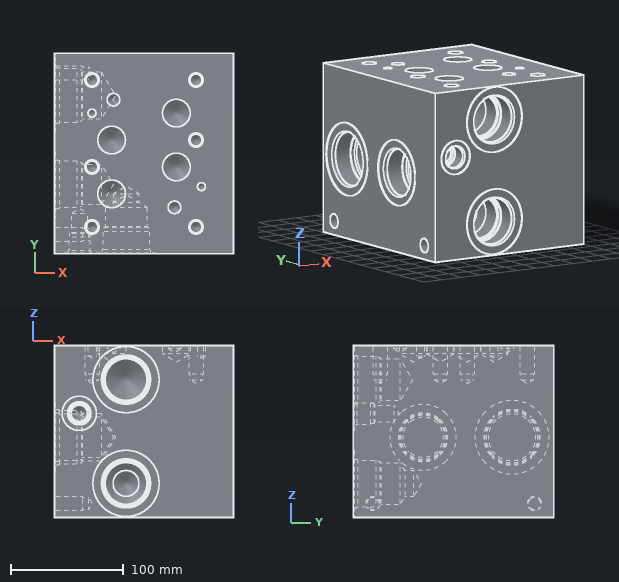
import cadquery as cq
import math

LENGTH_X = 158.8
LENGTH_Y = 177.8
LENGTH_Z = 152.4

DRILL_HALF_ANGLE = math.radians(59)

SEAT_TAPER = math.radians(12)
SPOTFACE_DEPTH = 0.9
LARGE_PORT = dict(spotface=65.5, seat=49.8, major=47.7, minor=45.5,
                  seat_depth=3.4, thread_depth=19.0, minor_depth=22.8)
MEDIUM_PORT = dict(spotface=58.7, seat=43.5, major=41.2, minor=39.3,
                   seat_depth=3.4, thread_depth=19.0, minor_depth=22.8)
SMALL_PORT = dict(spotface=30.4, seat=20.6, major=19.0, minor=17.5,
                  seat_depth=2.5, thread_depth=14.2, minor_depth=17.5)
BORE_T = 41.8
BORE_P = 35.7
BORE_AB = 37.0
BORE_Y = 14.5
BORE_RUN = 17.8
PASSAGE_A = 23.0
PASSAGE_A_DEPTH = 53.3

AB_X = 63.5
A_Z = 30.2
B_Z = LENGTH_Z - A_Z
Y_PORT_CENTRE = (22.0, 92.3)
PT_Z = 71.3
P_Y = 61.7
T_Y = 140.5

TAP_MAJOR = 12.6
TAP_MINOR = 10.7
TAP_THREAD_DEPTH = 24.9
TAP_DRILL_DEPTH = 30.2
SIDE_TAP_INSET = 17.5
SIDE_TAP_Z = 12.6

BOLT_SPAN_X = 92.1
BOLT_SPAN_Y = 130.1
PATTERN_X = (LENGTH_X - BOLT_SPAN_X) / 2
PATTERN_Y = (LENGTH_Y - BOLT_SPAN_Y) / 2
MID_BOLT_LEFT = 53.2
MID_BOLT_RIGHT = 77.0
BOLTS = [(x, y) for x in (0, BOLT_SPAN_X) for y in (0, BOLT_SPAN_Y)]
BOLTS += [(0, MID_BOLT_LEFT), (BOLT_SPAN_X, MID_BOLT_RIGHT)]
FLOW_PORTS = [(17.5, 29.3), (17.5, 77.0), (74.7, 53.2), (74.7, 100.8)]
PILOT_PORTS = [(73.0, 17.5), (19.0, 112.7)]
PINS = [(0, 100.8), (96.9, 35.7)]
FLOW_DIAMETER = 24.5
FLOW_DEPTH = 7.1
PILOT_DIAMETER = 11.2
PILOT_DEPTH = 2.7
PIN_DIAMETER = 7.1
PIN_DEPTH = 8.9


def cone_depth(diameter):
    return diameter / 2 / math.tan(DRILL_HALF_ANGLE)


def turned(profile):
    """Cutter turned from (diameter, depth) steps; it enters at Z=0 and points down -Z."""
    points = [(diameter / 2, -depth) for diameter, depth in profile]
    return cq.Workplane("XZ").polyline([(0, 0)] + points).close().revolve(360, (0, 0), (0, 1))


def drilled(diameter, depth):
    """Steps of a plain hole: straight to the given depth, then the drill point."""
    return [(diameter, 0), (diameter, depth), (0, depth + cone_depth(diameter))]


def tapped():
    end = TAP_DRILL_DEPTH + cone_depth(TAP_MINOR)
    return [(TAP_MAJOR, 0), (TAP_MAJOR, TAP_THREAD_DEPTH), (TAP_MINOR, TAP_THREAD_DEPTH),
            (TAP_MINOR, TAP_DRILL_DEPTH), (0, end)]


def threaded_port(port, bore, passage=0, passage_depth=0):
    """Steps of a port: spotface, tapered seat, thread, bore and an optional passage."""
    floor = SPOTFACE_DEPTH
    seat_end = floor + port["seat_depth"]
    seat_end_diameter = port["seat"] - 2 * port["seat_depth"] * math.tan(SEAT_TAPER)
    thread_end = floor + port["thread_depth"]
    minor_end = floor + port["minor_depth"]
    bore_start = minor_end + cone_depth(port["minor"]) - cone_depth(bore)
    bore_end = minor_end + BORE_RUN
    steps = [
        (port["spotface"], 0), (port["spotface"], floor),
        (port["seat"], floor), (seat_end_diameter, seat_end),
        (port["major"], seat_end), (port["major"], thread_end),
        (port["minor"], thread_end), (port["minor"], minor_end),
        (bore, bore_start), (bore, bore_end),
    ]
    if passage:
        steps.append((passage, bore_end + cone_depth(bore) - cone_depth(passage)))
        steps.append((passage, passage_depth))
        return steps + [(0, passage_depth + cone_depth(passage))]
    return steps + [(0, bore_end + cone_depth(bore))]


def on_top(profile, x, y):
    return turned(profile).translate((PATTERN_X + x, PATTERN_Y + y, LENGTH_Z))


def on_front(profile, x, z):
    """Place a cutter on the Y=0 face, pointing toward +Y."""
    return turned(profile).rotate((0, 0, 0), (1, 0, 0), 90).translate((x, 0, z))


def on_left(profile, y, z):
    """Place a cutter on the X=0 face, pointing toward +X."""
    return turned(profile).rotate((0, 0, 0), (0, 1, 0), -90).translate((0, y, z))


cutters = [
    on_front(threaded_port(MEDIUM_PORT, BORE_AB, PASSAGE_A, PASSAGE_A_DEPTH), AB_X, A_Z),
    on_front(threaded_port(MEDIUM_PORT, BORE_AB), AB_X, B_Z),
    on_front(threaded_port(SMALL_PORT, BORE_Y), *Y_PORT_CENTRE),
    on_left(threaded_port(MEDIUM_PORT, BORE_P), P_Y, PT_Z),
    on_left(threaded_port(LARGE_PORT, BORE_T), T_Y, PT_Z),
]
for y in (SIDE_TAP_INSET, LENGTH_Y - SIDE_TAP_INSET):
    cutters.append(on_left(tapped(), y, SIDE_TAP_Z))

top_holes = [
    (tapped(), BOLTS),
    (drilled(FLOW_DIAMETER, FLOW_DEPTH), FLOW_PORTS),
    (drilled(PILOT_DIAMETER, PILOT_DEPTH), PILOT_PORTS),
    (drilled(PIN_DIAMETER, PIN_DEPTH), PINS),
]
for profile, centres in top_holes:
    for x, y in centres:
        cutters.append(on_top(profile, x, y))

result = cq.Workplane("XY").box(LENGTH_X, LENGTH_Y, LENGTH_Z, centered=False)
for cutter in cutters:
    result = result.cut(cutter)